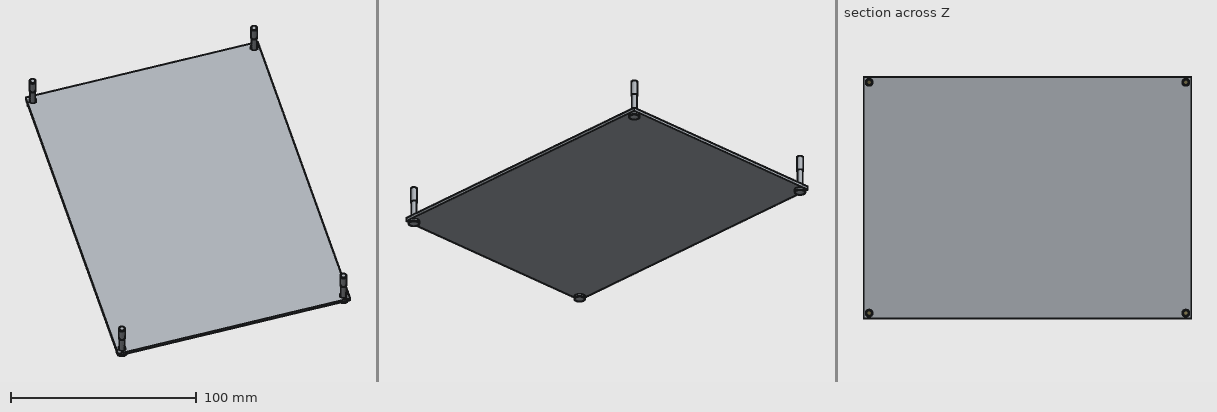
import cadquery as cq

PLATE_LENGTH = 176.6
PLATE_WIDTH = 130.3
PLATE_THICKNESS = 2.0
HOLE_DIAMETER = 3.9

HEAD_DIAMETER = 6.0
HEAD_HEIGHT = 2.3
HEAD_RIM_HEIGHT = 1.2
HEAD_DOME_DIAMETER = 5.7
HEAD_DOME_HEIGHT = 0.5
SHANK_DIAMETER = 3.0
THREAD_DIAMETER = 3.5
THREAD_LENGTH = 8.5
TOTAL_HEIGHT = 22.5
SHANK_LENGTH = TOTAL_HEIGHT - HEAD_HEIGHT - THREAD_LENGTH
TIP_CHAMFER = 0.45

SCREW_INSET = HEAD_DIAMETER / 2
SCREW_X = PLATE_LENGTH / 2 - SCREW_INSET
SCREW_Y = PLATE_WIDTH / 2 - SCREW_INSET
SCREW_POINTS = [(x, y) for x in (-SCREW_X, SCREW_X) for y in (-SCREW_Y, SCREW_Y)]


def make_plate():
    """Flat plate with its underside at Z = 0 and a clearance hole at each corner."""
    return (
        cq.Workplane("XY")
        .box(PLATE_LENGTH, PLATE_WIDTH, PLATE_THICKNESS, centered=(True, True, False))
        .faces(">Z")
        .workplane()
        .pushPoints(SCREW_POINTS)
        .hole(HOLE_DIAMETER)
    )


def make_head():
    """Round head, seated at Z = 0: a straight rim, a bevel and a shallow dome below."""
    rim_radius = HEAD_DIAMETER / 2
    dome_edge_radius = HEAD_DOME_DIAMETER / 2
    dome_top_z = HEAD_DOME_HEIGHT - HEAD_HEIGHT
    sphere_radius = (dome_edge_radius**2 + HEAD_DOME_HEIGHT**2) / (2 * HEAD_DOME_HEIGHT)
    return (
        cq.Workplane("XZ")
        .lineTo(rim_radius, 0)
        .lineTo(rim_radius, -HEAD_RIM_HEIGHT)
        .lineTo(dome_edge_radius, dome_top_z)
        .radiusArc((0, -HEAD_HEIGHT), sphere_radius)
        .close()
        .revolve(360, (0, 0, 0), (0, 1, 0))
    )


def make_screw(x, y):
    """Screw with a thin shank and a wider threaded end, chamfered at the tip."""
    shank = cq.Workplane("XY").circle(SHANK_DIAMETER / 2).extrude(SHANK_LENGTH)
    threaded_end = (
        cq.Workplane("XY")
        .workplane(offset=SHANK_LENGTH)
        .circle(THREAD_DIAMETER / 2)
        .extrude(THREAD_LENGTH)
        .faces(">Z")
        .chamfer(TIP_CHAMFER)
    )
    return make_head().union(shank).union(threaded_end).translate((x, y, 0))


plate = make_plate()
screws = [make_screw(x, y) for x, y in SCREW_POINTS]

result = cq.Compound.makeCompound([plate.val(), *[screw.val() for screw in screws]])